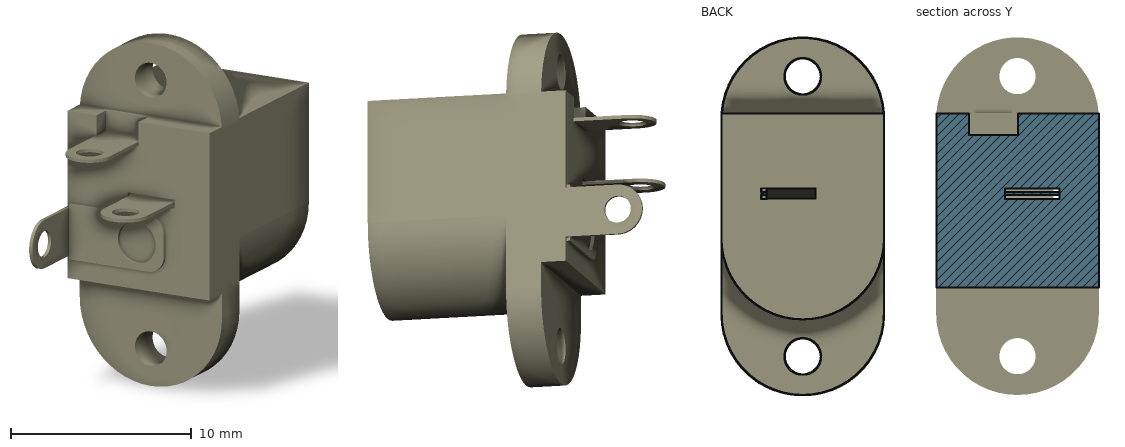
import cadquery as cq
import math


WIDTH = 9.0
HEIGHT = 19.8
HOUSING_DEPTH = 11.3
BODY_TOP = 5.7
REAR_BLOCK_BOTTOM = -3.96
FLANGE_REAR = 1.4
FLANGE_THICKNESS = 2.0
FLANGE_HOLE_SPACING = 15.5
FLANGE_HOLE_DIAMETER = 2.0

END_RADIUS = WIDTH / 2
FLANGE_FRONT = FLANGE_REAR + FLANGE_THICKNESS
SOCKET_AXIS_Z = END_RADIUS - BODY_TOP

SHEET = 0.2
LUG_HOLE_DIAMETER = 1.5

NOTCH_LEFT = -2.67
NOTCH_RIGHT = 0.0
NOTCH_DEPTH = 1.13
NOTCH_FLOOR = 4.32
UPPER_LUG_X = -1.4
UPPER_LUG_WIDTH = 2.65
UPPER_LUG_REACH = 4.35
UPPER_SHOULDER_LENGTH = 0.3

SLOT_LEFT = -0.7
SLOT_WIDTH = 2.99
SLOT_BOTTOM = 0.99
SLOT_HEIGHT = 0.55
MIDDLE_LUG_WIDTH = 2.77
MIDDLE_LUG_REACH = 4.3
LEAF_RIGHT = 2.0
LEAF_START = 1.98
LEAF_SLOPE = 32
MIDDLE_SHOULDER_START = 0.2

SLOT_RIGHT = SLOT_LEFT + SLOT_WIDTH
SLOT_CENTER_X = SLOT_LEFT + SLOT_WIDTH / 2
SLOT_TOP = SLOT_BOTTOM + SLOT_HEIGHT
MIDDLE_LUG_BOTTOM = SLOT_BOTTOM + (SLOT_HEIGHT - SHEET) / 2
MIDDLE_LUG_TOP = MIDDLE_LUG_BOTTOM + SHEET
LEAF_RUN = SLOT_HEIGHT / math.tan(math.radians(LEAF_SLOPE))
LEAF_THICKNESS_ALONG_Y = SHEET / math.sin(math.radians(LEAF_SLOPE))

PLATE_RIGHT = 1.7
PLATE_HEIGHT = 3.19
PLATE_CORNER_RADIUS = 0.99
PLATE_HOLE_DIAMETER = 2.4
SIDE_LUG_WIDTH = 2.8
SIDE_LUG_REACH = 4.35


def box(x_min, x_max, y_min, y_max, z_min, z_max):
    """Box between the given limits."""
    size = (x_max - x_min, y_max - y_min, z_max - z_min)
    return cq.Workplane("XY").box(*size, centered=False).translate((x_min, y_min, z_min))


def flat_lug(center_x, bottom_z, width, reach, inner_y):
    """Horizontal strip from inner_y back to a round, drilled end at y = -reach."""
    eye_y = width / 2 - reach
    strip = box(center_x - width / 2, center_x + width / 2, eye_y, inner_y, bottom_z, bottom_z + SHEET)
    at_eye = cq.Workplane("XY", origin=(center_x, eye_y, bottom_z))
    return strip.union(at_eye.circle(width / 2).extrude(SHEET)).cut(
        at_eye.circle(LUG_HOLE_DIAMETER / 2).extrude(SHEET)
    )


def make_flange():
    at_front = cq.Workplane("XZ", origin=(0, FLANGE_FRONT, 0))
    plate = at_front.slot2D(HEIGHT, WIDTH, 90).extrude(FLANGE_THICKNESS)
    half_spacing = FLANGE_HOLE_SPACING / 2
    holes = (
        at_front.pushPoints([(0, -half_spacing), (0, half_spacing)])
        .circle(FLANGE_HOLE_DIAMETER / 2)
        .extrude(FLANGE_THICKNESS)
    )
    return plate.cut(holes)


def make_barrel():
    """Socket body in front of the flange: flat on top, half round below."""
    return (
        cq.Workplane("XZ", origin=(0, HOUSING_DEPTH, 0))
        .moveTo(-END_RADIUS, BODY_TOP)
        .lineTo(-END_RADIUS, SOCKET_AXIS_Z)
        .threePointArc((0, -BODY_TOP), (END_RADIUS, SOCKET_AXIS_Z))
        .lineTo(END_RADIUS, BODY_TOP)
        .close()
        .extrude(HOUSING_DEPTH - FLANGE_FRONT)
    )


def make_housing():
    """Barrel, flange and rear block, with the upper lug fixed in its notch."""
    rear_block = box(-END_RADIUS, END_RADIUS, 0, FLANGE_REAR, REAR_BLOCK_BOTTOM, BODY_TOP)
    notch = box(NOTCH_LEFT, NOTCH_RIGHT, 0, NOTCH_DEPTH, NOTCH_FLOOR, BODY_TOP)
    slot = box(SLOT_LEFT, SLOT_RIGHT, 0, HOUSING_DEPTH, SLOT_BOTTOM, SLOT_TOP)
    upper_lug = flat_lug(UPPER_LUG_X, NOTCH_FLOOR, UPPER_LUG_WIDTH, UPPER_LUG_REACH, NOTCH_DEPTH)
    upper_shoulder = box(
        NOTCH_LEFT,
        NOTCH_RIGHT,
        NOTCH_DEPTH - UPPER_SHOULDER_LENGTH,
        NOTCH_DEPTH,
        NOTCH_FLOOR,
        NOTCH_FLOOR + SHEET,
    )
    shell = make_barrel().union(make_flange()).union(rear_block).cut(notch).cut(slot)
    return shell.union(upper_lug).union(upper_shoulder)


def make_middle_contact():
    """Lug that widens to fill the slot, then ends in a sloping leaf from slot floor to slot roof."""
    blade_end = LEAF_START + (LEAF_RUN + LEAF_THICKNESS_ALONG_Y) / 2
    lug = flat_lug(SLOT_CENTER_X, MIDDLE_LUG_BOTTOM, MIDDLE_LUG_WIDTH, MIDDLE_LUG_REACH, blade_end)
    shoulder = box(
        SLOT_LEFT, SLOT_RIGHT, MIDDLE_SHOULDER_START, LEAF_START, MIDDLE_LUG_BOTTOM, MIDDLE_LUG_TOP
    )
    leaf = (
        cq.Workplane("YZ", origin=(SLOT_LEFT, 0, 0))
        .moveTo(LEAF_START, SLOT_BOTTOM)
        .lineTo(LEAF_START + LEAF_THICKNESS_ALONG_Y, SLOT_BOTTOM)
        .lineTo(LEAF_START + LEAF_RUN + LEAF_THICKNESS_ALONG_Y, SLOT_TOP)
        .lineTo(LEAF_START + LEAF_RUN, SLOT_TOP)
        .close()
        .extrude(LEAF_RIGHT - SLOT_LEFT)
    )
    return lug.union(shoulder).union(leaf)


def make_side_bracket():
    """Plate with a round hole on the socket axis, and an upright lug flush with the housing side."""
    plate_bottom = SOCKET_AXIS_Z - PLATE_HEIGHT / 2
    plate = (
        box(SHEET - END_RADIUS, PLATE_RIGHT, -SHEET, 0, plate_bottom, plate_bottom + PLATE_HEIGHT)
        .edges("|Y and >X")
        .fillet(PLATE_CORNER_RADIUS)
    )
    plate_hole = (
        cq.Workplane("XZ", origin=(0, 0, SOCKET_AXIS_Z)).circle(PLATE_HOLE_DIAMETER / 2).extrude(SHEET)
    )
    upright_lug = (
        flat_lug(0, 0, SIDE_LUG_WIDTH, SIDE_LUG_REACH, 0)
        .rotate((0, 0, 0), (0, 1, 0), 90)
        .translate((-END_RADIUS, 0, SOCKET_AXIS_Z))
    )
    return plate.cut(plate_hole).union(upright_lug)


housing = make_housing()
middle_contact = make_middle_contact()
side_bracket = make_side_bracket()

result = cq.Compound.makeCompound(
    [housing.solids().val(), middle_contact.solids().val(), side_bracket.solids().val()]
)